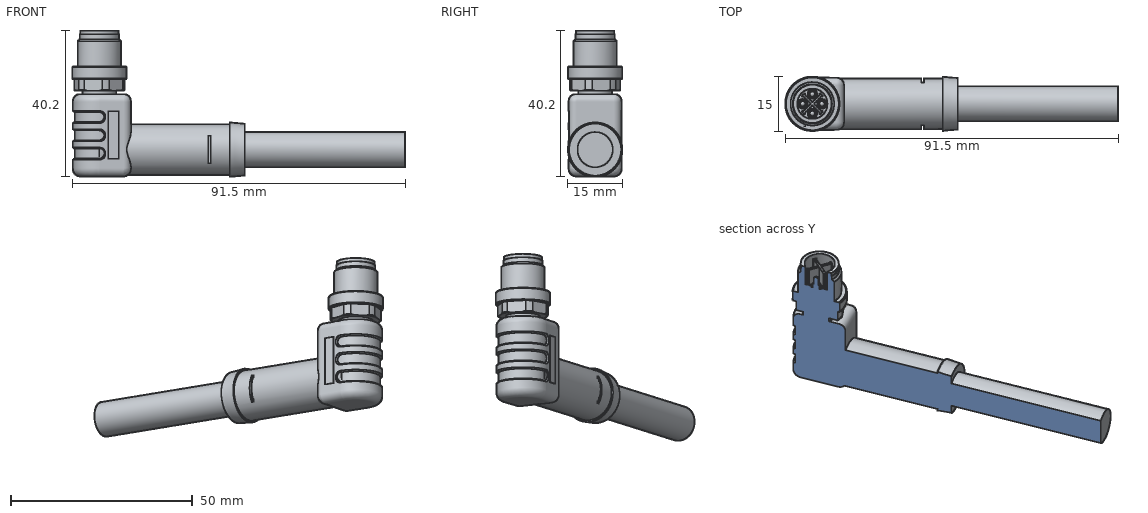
import cadquery as cq

overall_length = 91.5
overall_height = 40.2

housing_radius = 7.3
housing_bottom_z = 0.1
housing_top_z = 22.8
housing_end_x = 8.7
housing_end_half_width = 7.1
housing_edge_radius = 2.0
housing_bottom_edge_radius = 2.2

groove_top_z = 16.5
groove_pitch = 5.0
groove_count = 3
groove_depth = 0.55
groove_mouth = 3.4
groove_floor = 2.65

panel_x = 3.89
panel_z = 11.48
panel_width = 2.8
panel_height = 13.1
panel_y = 7.1

coupling_diameter = 15.0
cable_axis_z = coupling_diameter / 2
sleeve_diameter = 14.0
collar_end_diameter = 14.3
collar_diameter = coupling_diameter
collar_start_x = 35.8
collar_end_x = 40.0
cable_diameter = 9.7
cable_end_x = overall_length - coupling_diameter / 2
slit_x = 30.3
slit_width = 0.7
slit_depth = 1.1

neck_diameter = 9.3
nut_bottom_z = 23.7
nut_across_flats = 13.0
nut_corner_diameter = 14.0
nut_angle = 15.0
ring_bottom_z = 26.8
ring_top_z = 30.4
edge_chamfer = 0.3
barrel_diameter = 12.0
tip_diameter = 10.8
rim_diameter = 10.5
tip_bottom_z = 37.9
shoulder_z = tip_bottom_z - (barrel_diameter - tip_diameter) / 2
rim_bottom_z = 39.15

bore_diameter = 8.3
bore_floor_z = 33.8
shield_top_z = 39.15
shield_span = 7.1
shield_thickness = 0.6
shield_tip_width = 1.1
shield_tip_thickness = 0.3
pin_circle_radius = 2.65
pin_diameter = 1.5
pin_top_z = 37.3
pin_base_diameter = 2.1
pin_base_height = 0.9
pin_well_diameter = 2.65
pin_well_depth = 0.5
pin_count = 4


def cylinder_z(diameter, bottom, top):
    return cq.Workplane("XY").workplane(offset=bottom).circle(diameter / 2).extrude(top - bottom)


def cylinder_x(diameter, start, end):
    plane = cq.Workplane("YZ", origin=(start, 0, cable_axis_z))
    return plane.circle(diameter / 2).extrude(end - start)


def ring_of_pins(shape):
    """Copies of a shape built on the plug axis, one at each pin position."""
    ring = cq.Workplane("XY")
    for index in range(pin_count):
        placed = shape.translate((pin_circle_radius, 0, 0))
        ring = ring.add(placed.rotate((0, 0, 0), (0, 0, 1), index * 360 / pin_count))
    return ring.combine()


def make_housing():
    body = (
        cq.Workplane("XY")
        .workplane(offset=housing_bottom_z)
        .moveTo(0, housing_radius)
        .threePointArc((-housing_radius, 0), (0, -housing_radius))
        .lineTo(housing_end_x, -housing_end_half_width)
        .lineTo(housing_end_x, housing_end_half_width)
        .close()
        .extrude(housing_top_z - housing_bottom_z)
    )
    body = body.edges("|Z and >X").fillet(housing_edge_radius)
    body = body.faces(">Z").edges().fillet(housing_edge_radius)
    return body.faces("<Z").edges().fillet(housing_bottom_edge_radius)


def make_grip_groove(z):
    """Tapered groove round the nose, closed by a tapered round end on each side."""
    floor_radius = housing_radius - groove_depth
    wall_slope = (groove_mouth - groove_floor) / 2 / groove_depth
    outer_radius = housing_radius + groove_depth
    outer_half = groove_mouth / 2 + groove_depth * wall_slope
    floor_half = groove_floor / 2
    band = (
        cq.Workplane("XZ")
        .polyline([
            (floor_radius, z - floor_half),
            (outer_radius, z - outer_half),
            (outer_radius, z + outer_half),
            (floor_radius, z + floor_half),
        ])
        .close()
        .revolve(360, (0, 0, 0), (0, 1, 0))
    )
    nose_half = cq.Workplane("XY").box(2 * outer_radius, 4 * outer_radius, 2 * outer_half)
    groove = band.intersect(nose_half.translate((-outer_radius, 0, z)))
    for side in (-1, 1):
        round_end = cq.Solid.makeCone(
            floor_half, outer_half, outer_radius - floor_radius,
            pnt=cq.Vector(0, side * floor_radius, z), dir=cq.Vector(0, side, 0),
        )
        groove = groove.union(cq.Workplane(round_end))
    return groove


def make_panel_recesses():
    gap = cq.Workplane("XY").box(panel_width, 2 * panel_y, panel_height)
    block = cq.Workplane("XY").box(panel_width, 4 * panel_y, panel_height)
    return block.cut(gap).translate((panel_x, 0, panel_z))


def make_cable_outlet():
    outlet = cylinder_x(sleeve_diameter, 0, collar_end_x)
    slit_floor_y = sleeve_diameter / 2 - slit_depth
    for side in (-1, 1):
        slit = cq.Workplane("XY").box(slit_width, 2 * slit_depth, sleeve_diameter)
        outlet = outlet.cut(slit.translate((slit_x, side * (slit_floor_y + slit_depth), cable_axis_z)))
    collar = cq.Solid.makeCone(
        collar_diameter / 2, collar_end_diameter / 2, collar_end_x - collar_start_x,
        pnt=cq.Vector(collar_start_x, 0, cable_axis_z), dir=cq.Vector(1, 0, 0),
    )
    outlet = outlet.union(cq.Workplane(collar))
    return outlet.union(cylinder_x(cable_diameter, 0, cable_end_x))


def make_coupling():
    hexagon = (
        cq.Workplane("XY")
        .workplane(offset=nut_bottom_z)
        .polygon(6, nut_across_flats, circumscribed=True)
        .extrude(ring_bottom_z - nut_bottom_z)
        .rotate((0, 0, 0), (0, 0, 1), nut_angle)
    )
    corner_limit = cylinder_z(nut_corner_diameter, nut_bottom_z, ring_bottom_z)
    corner_limit = corner_limit.faces("<Z").chamfer(edge_chamfer)
    ring = cylinder_z(coupling_diameter, ring_bottom_z, ring_top_z)
    ring = ring.faces("<Z or >Z").chamfer(edge_chamfer)
    neck = cylinder_z(neck_diameter, housing_top_z - housing_edge_radius, nut_bottom_z)
    return hexagon.intersect(corner_limit).union(ring).union(neck)


def make_barrel():
    shell = (
        cq.Workplane("XZ")
        .moveTo(0, ring_top_z)
        .lineTo(barrel_diameter / 2, ring_top_z)
        .lineTo(barrel_diameter / 2, shoulder_z)
        .lineTo(tip_diameter / 2, tip_bottom_z)
        .lineTo(tip_diameter / 2, rim_bottom_z)
        .lineTo(rim_diameter / 2, rim_bottom_z)
        .lineTo(rim_diameter / 2, overall_height)
        .lineTo(0, overall_height)
        .close()
        .revolve(360, (0, 0, 0), (0, 1, 0))
    )
    chamber = cylinder_z(bore_diameter, bore_floor_z, overall_height)
    well = cylinder_z(pin_well_diameter, bore_floor_z - pin_well_depth, bore_floor_z)
    return shell.cut(chamber).cut(ring_of_pins(well))


def make_contacts():
    """Cross-shaped shield and the round-tipped pins standing between its arms."""
    shield_height = shield_top_z - bore_floor_z
    contacts = cq.Workplane("XY")
    for angle in (45, 135):
        arm = cq.Workplane("XY").box(
            shield_span, shield_thickness, shield_height, centered=(True, True, False)
        )
        for side in (-1, 1):
            tip = cq.Workplane("XY").box(
                shield_tip_thickness, shield_tip_width, shield_height, centered=(True, True, False)
            )
            arm = arm.union(tip.translate((side * (shield_span - shield_tip_thickness) / 2, 0, 0)))
        contacts = contacts.add(arm.translate((0, 0, bore_floor_z)).rotate((0, 0, 0), (0, 0, 1), angle))
    pin_foot_z = bore_floor_z - pin_well_depth
    tip_center_z = pin_top_z - pin_diameter / 2
    pin = cylinder_z(pin_diameter, pin_foot_z, tip_center_z)
    pin = pin.union(cq.Workplane("XY").sphere(pin_diameter / 2).translate((0, 0, tip_center_z)))
    pin = pin.union(cylinder_z(pin_base_diameter, pin_foot_z, bore_floor_z + pin_base_height))
    return contacts.combine().union(ring_of_pins(pin))


housing = make_housing()
for groove_index in range(groove_count):
    housing = housing.cut(make_grip_groove(groove_top_z - groove_index * groove_pitch))
housing = housing.cut(make_panel_recesses())

result = (
    housing
    .union(make_cable_outlet())
    .union(make_coupling())
    .union(make_barrel())
    .union(make_contacts())
)